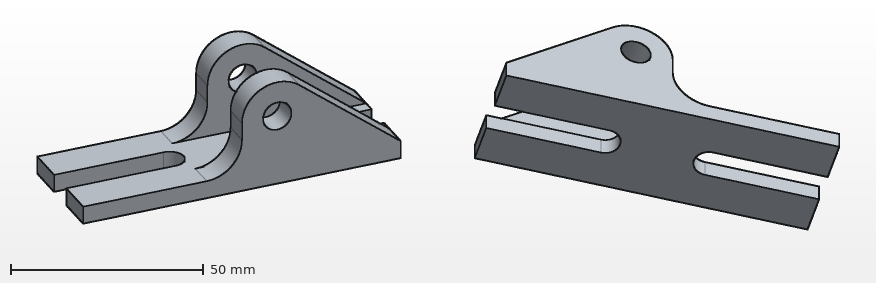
import cadquery as cq
import math

length = 90.0
width = 30.0
height = 30.0

plate_thickness = 5.0
slot_width = 8.0
slot_length = 35.0

lug_thickness = 7.5
lug_radius = 10.0
root_radius = 10.0
pin_diameter = 8.0

back_y = length / 2
pin_y = lug_radius
pin_z = height - lug_radius


def slope_tangent_point():
    """Point (y, z) where the line from the back top edge of the plate meets the lug round."""
    run = back_y - pin_y
    drop = plate_thickness - pin_z
    distance = math.hypot(run, drop)
    angle = math.atan2(drop, run) + math.acos(lug_radius / distance)
    return (pin_y + lug_radius * math.cos(angle), pin_z + lug_radius * math.sin(angle))


def make_plate():
    return cq.Workplane("XY").box(width, length, plate_thickness, centered=(True, True, False))


def make_lug(side):
    """Lug flush with the -X (side = -1) or +X (side = 1) edge of the plate."""
    root_offset = root_radius * (1 - math.sqrt(0.5))
    inner_x = width / 2 - lug_thickness
    start_x = inner_x if side > 0 else -width / 2
    return (
        cq.Workplane("YZ", origin=(start_x, 0, 0))
        .moveTo(back_y, 0)
        .lineTo(back_y, plate_thickness)
        .lineTo(*slope_tangent_point())
        .threePointArc((pin_y, height), (0, pin_z))
        .lineTo(0, plate_thickness + root_radius)
        .threePointArc(
            (-root_offset, plate_thickness + root_offset),
            (-root_radius, plate_thickness),
        )
        .lineTo(-root_radius, 0)
        .close()
        .extrude(lug_thickness)
    )


def make_slot(end):
    """Round-bottomed slot cutter, open at the -Y (end = -1) or +Y (end = 1) edge."""
    slot_radius = slot_width / 2
    round_y = end * (length / 2 - slot_length + slot_radius)
    straight_length = slot_length - slot_radius
    straight = (
        cq.Workplane("XY")
        .center(0, round_y + end * straight_length / 2)
        .rect(slot_width, straight_length)
        .extrude(plate_thickness)
    )
    rounded_end = cq.Workplane("XY").center(0, round_y).circle(slot_radius).extrude(plate_thickness)
    return straight.union(rounded_end)


def make_pin_hole():
    return (
        cq.Workplane("YZ", origin=(-width / 2, 0, 0))
        .center(pin_y, pin_z)
        .circle(pin_diameter / 2)
        .extrude(width)
    )


result = make_plate()
for direction in (-1, 1):
    result = result.union(make_lug(direction))
for direction in (-1, 1):
    result = result.cut(make_slot(direction))
result = result.cut(make_pin_hole())